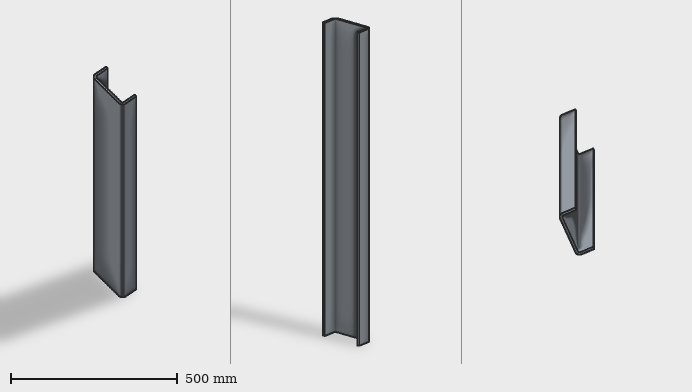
import cadquery as cq

width = 142.0
depth = 56.0
length = 1000.0

thickness = 8.0
inner_radius = 6.0
outer_radius = inner_radius + thickness


def rounded_bar(bar_width, bar_depth, front_y, corner_radius):
    """Full-length bar whose two front (-Y) edges are rounded."""
    return (
        cq.Workplane("XY")
        .box(bar_width, bar_depth, length, centered=(True, False, True))
        .translate((0, front_y, 0))
        .edges("|Z and <Y")
        .fillet(corner_radius)
    )


outside = rounded_bar(width, depth, -depth / 2, outer_radius)
inside = rounded_bar(
    width - 2 * thickness, depth - thickness, -depth / 2 + thickness, inner_radius
)
result = outside.cut(inside)